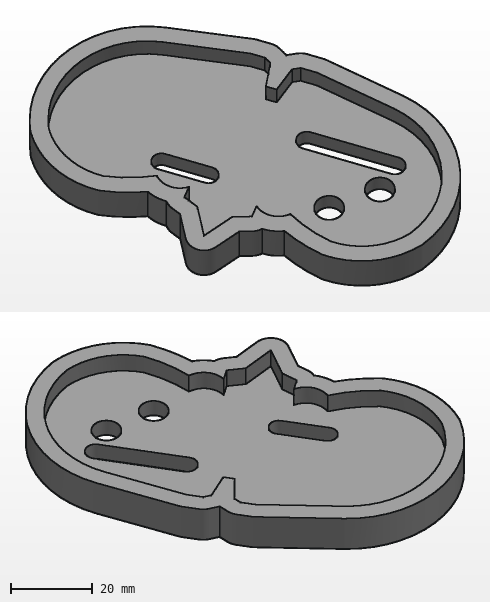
import cadquery as cq

width = 108.3
height = 10.0
wall = 4.5
pocket_depth = 5.2

midline_shift = -0.2
pocket_half_width = width / 2 - wall

notch_bottom = (1.4, 20.0)
notch_shoulder = (2.8, 27.2)
brow_inner = (4.7, 28.3)
nose_flank = (4.5, -20.5)
nose_tip = (0, -28.3)

brow_outer = (8.7, 28.3)
temple = (30.1, 24.3)
side = (pocket_half_width, 0.5)
jaw = (46.9, -10.5)
jaw_middle = (41.9, -15.7)
cheek_bottom = (29.6, -19.4)
cheek_middle = (23.3, -17.7)
cheek_cusp = (17.3, -14.8)
nostril_middle = (12.9, -16.9)
nostril_end = (8.8, -15.4)
nose_side = (8.8, -18.7)

hole_diameter = 7.4
hole_centers = [(34.0, 3.5), (24.3, -6.1)]
long_slot_length = 28.2
long_slot_width = 5.3
long_slot_center = (23.5, 11.6)
short_slot_length = 17.2
short_slot_width = 5.0
short_slot_center = (-13.0, -6.6)


def mirrored(point):
    """The same point on the left half."""
    return (-point[0], point[1])


def shifted(point):
    """A point of the notch or nose, moved onto their shifted midline."""
    return (point[0] + midline_shift, point[1])


def pocket_outline():
    """Closed pocket outline: right half downwards, then left half back upwards."""
    m = mirrored
    return (
        cq.Workplane("XY")
        .moveTo(*shifted(notch_bottom))
        .lineTo(*shifted(notch_shoulder))
        .lineTo(*shifted(brow_inner))
        .lineTo(*brow_outer)
        .lineTo(*temple)
        .threePointArc(side, jaw)
        .threePointArc(jaw_middle, cheek_bottom)
        .threePointArc(cheek_middle, cheek_cusp)
        .threePointArc(nostril_middle, nostril_end)
        .lineTo(*nose_side)
        .lineTo(*shifted(nose_flank))
        .lineTo(*shifted(nose_tip))
        .lineTo(*shifted(m(nose_flank)))
        .lineTo(*m(nose_side))
        .lineTo(*m(nostril_end))
        .threePointArc(m(nostril_middle), m(cheek_cusp))
        .threePointArc(m(cheek_middle), m(cheek_bottom))
        .threePointArc(m(jaw_middle), m(jaw))
        .threePointArc(m(side), m(temple))
        .lineTo(*m(brow_outer))
        .lineTo(*shifted(m(brow_inner)))
        .lineTo(*shifted(m(notch_shoulder)))
        .lineTo(*shifted(m(notch_bottom)))
        .close()
    )


def slot(length, slot_width, center):
    """Round-ended cutter along X, through the full height."""
    return cq.Workplane("XY").center(*center).slot2D(length, slot_width).extrude(height)


body = pocket_outline().offset2D(wall, "arc").extrude(height)
pocket = pocket_outline().extrude(pocket_depth).translate((0, 0, height - pocket_depth))
holes = cq.Workplane("XY").pushPoints(hole_centers).circle(hole_diameter / 2).extrude(height)

result = (
    body.cut(pocket)
    .cut(holes)
    .cut(slot(long_slot_length, long_slot_width, long_slot_center))
    .cut(slot(short_slot_length, short_slot_width, short_slot_center))
)